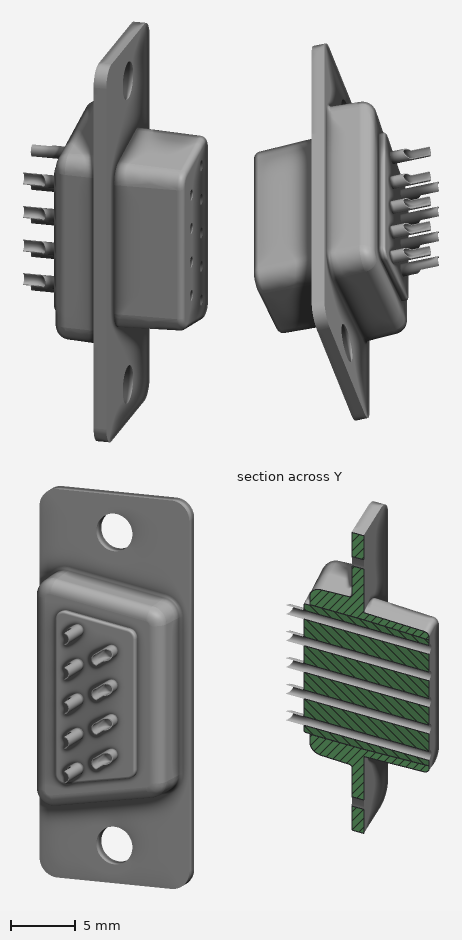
import cadquery as cq
import math

plate_length = 31.0
plate_width = 12.5
plate_thickness = 1.02
plate_corner_radius = 1.5
mount_hole_diameter = 3.0
mount_hole_spacing = 25.0

slant = math.radians(10)

hood_depth = 3.53
hood_half_width = 5.5
hood_half_length = 8.5
hood_corner_radius = 1.5
hood_draft = 2.5
hood_edge_radius = 1.02
hood_root_radius = 0.25

plug_depth = 5.5
plug_half_width = 4.0
plug_half_length = 7.25
plug_corner_radius = 1.5
plug_draft = 2.0
plug_edge_radius = 0.5

insert_projection = 0.5
insert_half_width = 3.35
insert_half_length = 6.45
insert_corner_radius = 0.75
insert_edge_radius = 0.2

contact_length = 3.0
contact_diameter = 1.0
contact_bore = 0.87
contact_pitch = 2.75
row_offset = 1.43
long_row_count = 5
short_row_count = 4
cup_length = 1.5
cup_cut_offset = 0.1
cup_ramp_length = 0.5

plate_front = plate_thickness
plug_face = plate_front + plug_depth
hood_face = -hood_depth
insert_face = hood_face - insert_projection
contact_tip = insert_face - contact_length


def d_outline(x, half_width, half_length, corner_radius, depth, draft=0.0):
    """D-shaped prism from station x; half_length is measured at Y = 0, negative depth goes toward -X."""
    flare = half_width * math.tan(slant)
    long_end = half_length + flare
    short_end = half_length - flare
    corners = [
        (half_width, -long_end),
        (half_width, long_end),
        (-half_width, short_end),
        (-half_width, -short_end),
    ]
    face = cq.Sketch().polygon(corners + corners[:1]).vertices().fillet(corner_radius)
    return cq.Workplane("YZ", origin=(x, 0, 0)).placeSketch(face).extrude(depth, taper=draft)


def make_plate():
    plate = (
        cq.Workplane("YZ")
        .rect(plate_width, plate_length)
        .extrude(plate_thickness)
        .edges("|X")
        .fillet(plate_corner_radius)
    )
    return (
        plate.faces("<X")
        .workplane(origin=(0, 0, 0))
        .pushPoints([(0, -mount_hole_spacing / 2), (0, mount_hole_spacing / 2)])
        .hole(mount_hole_diameter)
    )


def make_insert_blank():
    """Straight block through hood and plate, then a tongue with the draft of the plug."""
    block = d_outline(
        insert_face, insert_half_width, insert_half_length, insert_corner_radius, plate_front - insert_face
    )
    tongue = d_outline(
        plate_front, insert_half_width, insert_half_length, insert_corner_radius, plug_depth, plug_draft
    )
    return block.union(tongue)


def make_shell():
    hood = d_outline(0, hood_half_width, hood_half_length, hood_corner_radius, -hood_depth, hood_draft)
    hood = hood.faces("<X").edges().fillet(hood_edge_radius)
    plug = d_outline(
        plate_front, plug_half_width, plug_half_length, plug_corner_radius, plug_depth, plug_draft
    )
    plug = plug.faces(">X").edges().fillet(plug_edge_radius)
    shell = make_plate().union(hood)
    root_corner = cq.Vector(hood_root_radius, plate_width / 2, mount_hole_spacing / 2)
    root_box = cq.selectors.BoxSelector(
        (-root_corner).toTuple(),
        root_corner.toTuple(),
        boundingbox=True,
    )
    shell = shell.edges(root_box).fillet(hood_root_radius)
    return shell.union(plug).cut(make_insert_blank())


def contact_places():
    """(side, Y, Z) of each contact; side is the sign of Y."""
    places = []
    for side, count in ((1, long_row_count), (-1, short_row_count)):
        for i in range(count):
            places.append((side, side * row_offset, (i - (count - 1) / 2) * contact_pitch))
    return places


def make_contact_post(side, y, z):
    """Solid contact post with its outer side cut away at the tip to form the solder cup."""
    radius = contact_diameter / 2
    post = cq.Workplane("YZ", origin=(contact_tip, y, z)).circle(radius).extrude(contact_length)
    cut_y = y - side * cup_cut_offset
    outer_y = y + side * radius
    cup_end = contact_tip + cup_length
    relief = (
        cq.Workplane("XY", origin=(0, 0, z))
        .polyline(
            [
                (contact_tip, cut_y),
                (cup_end, cut_y),
                (cup_end + cup_ramp_length, outer_y),
                (contact_tip, outer_y),
            ]
        )
        .close()
        .extrude(radius, both=True)
    )
    return post.cut(relief)


def make_insert():
    insert = make_insert_blank().faces("<X").edges().fillet(insert_edge_radius)
    for side, y, z in contact_places():
        insert = insert.union(make_contact_post(side, y, z))
    bores = (
        cq.Workplane("YZ", origin=(contact_tip, 0, 0))
        .pushPoints([(y, z) for _, y, z in contact_places()])
        .circle(contact_bore / 2)
        .extrude(plug_face - contact_tip)
    )
    return insert.cut(bores)


shell = make_shell()
insert = make_insert()

result = cq.Compound.makeCompound([shell.solids().val(), insert.solids().val()])